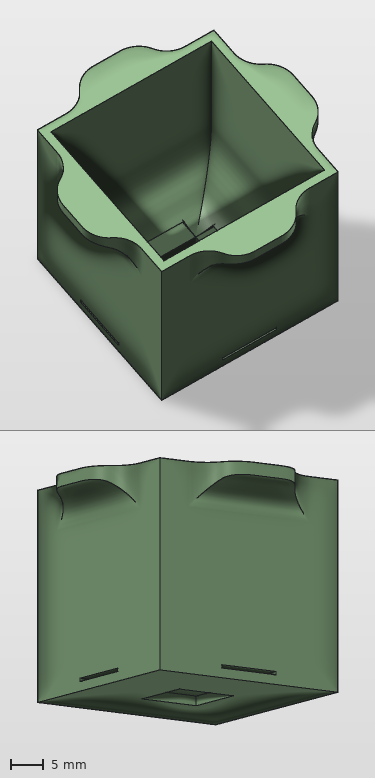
import cadquery as cq
import math

overall_width = 43.0
body_size = 33.0
wall = 1.5
outlet_size = 10.0
tab_thickness = 2.0
tab_flat = 5.0
slot_height = 0.5

half_body = body_size / 2
cavity_size = body_size - 2 * wall
bowl_radius = (cavity_size - outlet_size) / 2
tab_reach = (overall_width - body_size) / 2
tab_radius = tab_reach
side_angles = (0, 90, 180, 270)


def around_z(shape, angle):
    return shape.rotate((0, 0, 0), (0, 0, 1), angle)


def make_cavity():
    """Square funnel with mitred, concave quarter-round floor sides."""
    half_cavity = cavity_size / 2
    half_outlet = outlet_size / 2
    bowl_top = wall + bowl_radius
    cavity = (
        cq.Workplane("XY").workplane(offset=wall)
        .rect(cavity_size, cavity_size).extrude(body_size - wall)
    )
    diagonal = bowl_radius * math.sqrt(0.5)
    bowl_side = (
        cq.Workplane("XZ")
        .moveTo(half_outlet, wall)
        .threePointArc((half_outlet + diagonal, bowl_top - diagonal), (half_cavity, bowl_top))
        .lineTo(half_cavity, wall)
        .close()
        .extrude(half_cavity, both=True)
    )
    mitre = (
        cq.Workplane("XY")
        .polyline([(0, 0), (half_cavity, -half_cavity), (half_cavity, half_cavity)])
        .close()
        .extrude(body_size)
    )
    bowl_side = bowl_side.intersect(mitre)
    for angle in side_angles:
        cavity = cavity.cut(around_z(bowl_side, angle))
    return cavity


def make_tab():
    """Grip tab on the +X side: S-curved outline, coved underneath."""
    cos_30 = math.cos(math.pi / 6)
    half_step = tab_radius * cos_30
    half_tip = tab_flat / 2
    half_root = half_tip + 2 * half_step
    tip = overall_width / 2
    middle = half_body + tab_reach / 2
    arc_half = tab_radius / 2
    arc_rise = tab_radius * (1 - cos_30)
    outline = (
        cq.Workplane("XY")
        .moveTo(half_body, -half_root)
        .threePointArc((half_body + arc_rise, -half_root + arc_half), (middle, -half_tip - half_step))
        .threePointArc((tip - arc_rise, -half_tip - arc_half), (tip, -half_tip))
        .lineTo(tip, half_tip)
        .threePointArc((tip - arc_rise, half_tip + arc_half), (middle, half_tip + half_step))
        .threePointArc((half_body + arc_rise, half_root - arc_half), (half_body, half_root))
        .lineTo(half_body - wall, half_root)
        .lineTo(half_body - wall, -half_root)
        .close()
        .extrude(body_size)
    )
    underside = body_size - tab_thickness
    diagonal = tab_reach * math.sqrt(0.5)
    profile = (
        cq.Workplane("XZ")
        .moveTo(half_body - wall, body_size)
        .lineTo(tip, body_size)
        .lineTo(tip, underside)
        .threePointArc(
            (tip - diagonal, underside - tab_reach + diagonal),
            (half_body, underside - tab_reach),
        )
        .lineTo(half_body - wall, underside - tab_reach)
        .close()
        .extrude(half_root, both=True)
    )
    return outline.intersect(profile)


result = cq.Workplane("XY").box(body_size, body_size, body_size, centered=(True, True, False))
tab = make_tab()
for side_angle in side_angles:
    result = result.union(around_z(tab, side_angle))

result = result.cut(make_cavity())
outlet = cq.Workplane("XY").rect(outlet_size, outlet_size).extrude(body_size)
result = result.cut(outlet)

slot = (
    cq.Workplane("XY").workplane(offset=wall)
    .rect(body_size, outlet_size).extrude(slot_height)
)
result = result.cut(slot).cut(around_z(slot, 90))